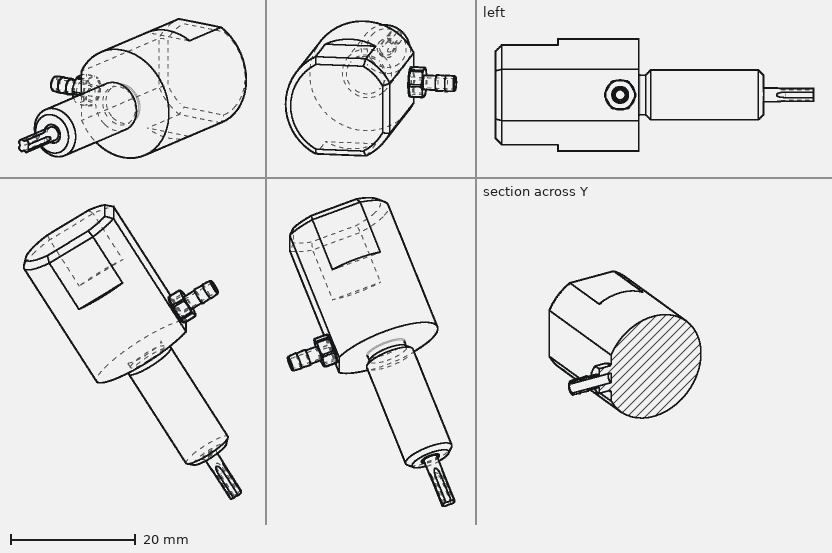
import cadquery as cq
import math


body_diameter = 18.0
body_length = 23.0
flat_offset = 8.0
short_flat_length = 10.0
back_chamfer = 1.0

barrel_diameter = 8.0
barrel_end = 20.0
barrel_chamfer = 0.8
neck_diameter = 6.4
neck_end = 1.05
neck_fillet = 0.15
mouth_diameter = 3.05
mouth_depth = 0.1

overall_length = 51.0
rod_diameter = 2.25
groove_count = 4
groove_length = 4.55
groove_width = 0.85
groove_floor = 0.8
groove_runout = 1.4

fitting_y = 3.0
fitting_tip_x = -15.3
barb_count = 2
barb_length = 1.55
barb_start_radius = 1.2
barb_radius = 1.35
tip_chamfer = 0.15
shank_radius = 1.15
fitting_bore = 1.65
hex_front_x = -10.25
hex_back_x = -8.15
hex_across_flats = 4.5
hex_corner_diameter = 5.0
hex_chamfer = 0.15
washer_diameter = 4.8

body_radius = body_diameter / 2
rod_tip_y = body_length - overall_length


def make_flat_waste(length):
    """Material outside a +Z flat of the given length, bevelled at the back face."""
    return (
        cq.Workplane("YZ")
        .moveTo(body_length - length, flat_offset)
        .lineTo(body_length - back_chamfer, flat_offset)
        .lineTo(body_length, flat_offset - back_chamfer)
        .lineTo(body_length, body_radius)
        .lineTo(body_length - length, body_radius)
        .close()
        .extrude(body_radius, both=True)
    )


def make_body():
    """Cylinder with a full-length -X flat, shorter +Z and -Z flats and a chamfered back."""
    body = cq.Workplane("XZ").circle(body_radius).extrude(-body_length)
    body = body.faces(">Y").edges().chamfer(back_chamfer)
    for angle, length in ((0, short_flat_length), (180, short_flat_length), (-90, body_length)):
        body = body.cut(make_flat_waste(length).rotate((0, 0, 0), (0, 1, 0), angle))
    return body


def make_barrel():
    """Turned neck and sleeve, with a shallow recess around the rod."""
    barrel_radius = barrel_diameter / 2
    neck_radius = neck_diameter / 2
    mouth_radius = mouth_diameter / 2
    cone_length = barrel_radius - neck_radius
    profile = (
        cq.Workplane("XY")
        .moveTo(0, 0)
        .lineTo(neck_radius + neck_fillet, 0)
        .radiusArc((neck_radius, -neck_fillet), -neck_fillet)
        .lineTo(neck_radius, -neck_end)
        .lineTo(barrel_radius, -neck_end - cone_length)
        .lineTo(barrel_radius, -barrel_end + barrel_chamfer)
        .lineTo(barrel_radius - barrel_chamfer, -barrel_end)
        .lineTo(mouth_radius, -barrel_end)
        .lineTo(mouth_radius, -barrel_end + mouth_depth)
        .lineTo(0, -barrel_end + mouth_depth)
        .close()
    )
    return profile.revolve(360, (0, 0, 0), (0, 1, 0))


def make_groove_cutter():
    """Round-bottomed groove above the rod axis, rising out of the rod on a long arc."""
    rod_radius = rod_diameter / 2
    half_width = groove_width / 2
    groove_depth = rod_radius - groove_floor
    sag = math.sqrt(rod_radius**2 - half_width**2) - groove_floor
    cutter_radius = (half_width**2 + sag**2) / (2 * sag)
    runout_radius = (groove_runout**2 + groove_depth**2) / (2 * groove_depth)
    full_depth_end = rod_tip_y + groove_length

    straight = (
        cq.Workplane("XZ", origin=(0, rod_tip_y, 0))
        .center(0, groove_floor + cutter_radius)
        .circle(cutter_radius)
        .extrude(-groove_length)
    )
    wheel = cq.Solid.makeTorus(
        runout_radius - cutter_radius,
        cutter_radius,
        cq.Vector(0, full_depth_end, groove_floor + runout_radius),
        cq.Vector(1, 0, 0),
    )
    return straight, cq.Workplane(wheel)


def make_rod():
    rod = cq.Workplane("XZ", origin=(0, rod_tip_y, 0)).circle(rod_diameter / 2).extrude(rod_tip_y)
    for index in range(groove_count):
        angle = index * 360 / groove_count
        for cutter in make_groove_cutter():
            rod = rod.cut(cutter.rotate((0, 0, 0), (0, 1, 0), angle))
    return rod


def x_cylinder(diameter, start_x, end_x):
    """Cylinder on the fitting axis."""
    return (
        cq.Workplane("YZ", origin=(start_x, fitting_y, 0))
        .circle(diameter / 2)
        .extrude(end_x - start_x)
    )


def make_hose_tail():
    """Barbed tail and plain shank, turned about the fitting axis."""
    points = [
        (fitting_tip_x, 0),
        (fitting_tip_x, barb_start_radius - tip_chamfer),
        (fitting_tip_x + tip_chamfer, barb_start_radius),
    ]
    for index in range(barb_count):
        barb_end_x = fitting_tip_x + (index + 1) * barb_length
        next_radius = barb_start_radius if index < barb_count - 1 else shank_radius
        points += [(barb_end_x, barb_radius), (barb_end_x, next_radius)]
    points += [(hex_front_x, shank_radius), (hex_front_x, 0)]
    tail = cq.Workplane("XY").polyline(points).close().revolve(360, (0, 0, 0), (1, 0, 0))
    return tail.translate((0, fitting_y, 0))


def make_hex():
    """Hexagon with flats facing +Z and -Z, limited by a chamfered cylinder."""
    across_corners = hex_across_flats / math.cos(math.pi / 6)
    prism = (
        cq.Workplane("YZ", origin=(hex_front_x, fitting_y, 0))
        .polygon(6, across_corners)
        .extrude(hex_back_x - hex_front_x)
    )
    envelope = x_cylinder(hex_corner_diameter, hex_front_x, hex_back_x).edges().chamfer(hex_chamfer)
    return prism.intersect(envelope)


def make_fitting():
    washer = x_cylinder(washer_diameter, hex_back_x, -flat_offset)
    fitting = make_hose_tail().union(make_hex()).union(washer)
    return fitting.cut(x_cylinder(fitting_bore, fitting_tip_x, -flat_offset))


result = make_body().union(make_barrel()).union(make_rod()).union(make_fitting())